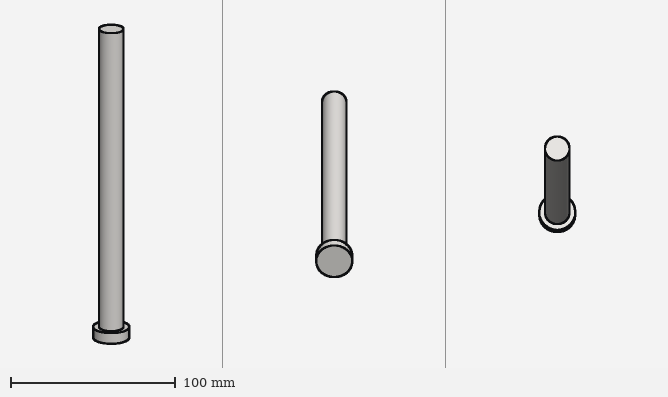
import cadquery as cq

total_length = 200.0
head_diameter = 22.0
head_height = 7.0
shank_diameter = 15.0


def make_head():
    """Flat cylindrical head at the bottom of the pin."""
    return cq.Workplane("XY").circle(head_diameter / 2).extrude(head_height)


def make_shank():
    """Plain shank running the full length, through the head to the tip."""
    return cq.Workplane("XY").circle(shank_diameter / 2).extrude(total_length)


result = make_head().union(make_shank())